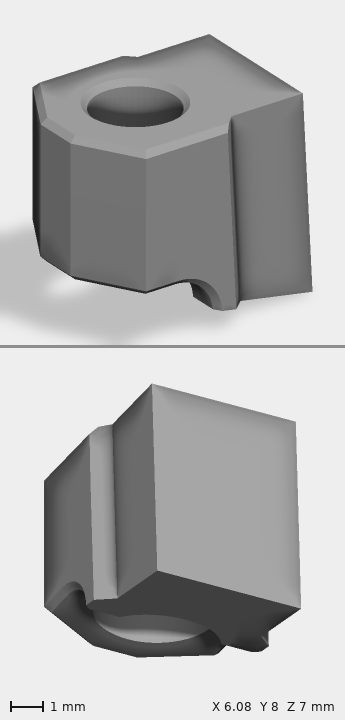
import cadquery as cq
import math

head_width = 6.08
head_front = -3.04
head_height = 5.0
front_flat_width = 1.62
facet_angle = 30.0
edge_chamfer = 0.21

parting_z = -2.0
draft_angle = 0.3

tail_width = 5.0
tail_back = 4.96
total_height = 7.0
back_lean = 3.0
underside_slope = 10.0

shoulder_back = 1.88

relief_radius = 1.44
relief_start = -0.5

bore_diameter = 3.0
bore_chamfer = 0.2
counterbore_diameter = 4.0
counterbore_top = -1.56

overrun = 1.6

half_head = head_width / 2
half_tail = tail_width / 2
facet_slope = math.tan(math.radians(facet_angle))
facet_rear = head_front + (half_head - front_flat_width / 2) * facet_slope
back_shift = total_height * math.tan(math.radians(back_lean))


def make_plan_block():
    """Vertical block with the faceted front, longer and deeper than the finished part."""
    rear = tail_back + overrun
    half_flat = front_flat_width / 2
    return (
        cq.Workplane("XY")
        .polyline([
            (-half_head, rear),
            (-half_head, facet_rear),
            (-half_flat, head_front),
            (half_flat, head_front),
            (half_head, facet_rear),
            (half_head, rear),
        ])
        .close()
        .extrude(-total_height - overrun)
    )


def make_draft_cutter(point_x, point_y, turn):
    """Thin wedge outside the upright face through a plan point, its normal turned from +X about Z."""
    depth = -parting_z * math.tan(math.radians(draft_angle))
    length = 2 * (tail_back + overrun)
    return (
        cq.Workplane("XZ")
        .polyline([(0, parting_z), (-depth, 0), (overrun, 0), (overrun, parting_z)])
        .close()
        .extrude(length, both=True)
        .rotate((0, 0, 0), (0, 0, 1), turn)
        .translate((point_x, point_y, 0))
    )


def make_relief_cutter():
    """Space under the head, ending in a quarter-round against the tail."""
    centre_z = -head_height - relief_radius
    bottom = -total_height - 2 * overrun
    diagonal = relief_radius * math.sqrt(0.5)
    return (
        cq.Workplane("YZ")
        .moveTo(head_front - overrun, -head_height)
        .lineTo(relief_start, -head_height)
        .threePointArc(
            (relief_start + diagonal, centre_z + diagonal),
            (relief_start + relief_radius, centre_z),
        )
        .lineTo(relief_start + relief_radius, bottom)
        .lineTo(head_front - overrun, bottom)
        .close()
        .extrude(head_width, both=True)
    )


def make_leaning_envelope():
    """Tail and shoulder outline, carried down along the lean and trimmed by the sloping underside."""
    shoulder_front = shoulder_back - (half_head - half_tail)
    outer = half_head + overrun
    outer_y = shoulder_front - overrun
    front = head_front - overrun
    half_outline = [
        (outer, front),
        (outer, outer_y),
        (half_tail, shoulder_back),
        (half_tail, tail_back - back_shift),
    ]
    outline = half_outline + [(-x, y) for x, y in reversed(half_outline)]
    lowered = [(x, y + back_shift) for x, y in outline]
    leaning = (
        cq.Workplane("XY")
        .polyline(outline)
        .close()
        .workplane(offset=-total_height)
        .polyline(lowered)
        .close()
        .loft(ruled=True)
    )
    run = tail_back - relief_start
    rise = run * math.tan(math.radians(underside_slope))
    underside = (
        cq.Workplane("YZ")
        .polyline([
            (tail_back, -total_height),
            (relief_start, -total_height + rise),
            (relief_start, -total_height - overrun),
            (tail_back, -total_height - overrun),
        ])
        .close()
        .extrude(head_width, both=True)
    )
    return leaning.cut(underside)


def chamfer_head(block):
    """Bevel the outer edges of the top face and of the head bottom and relief."""
    top_edges = block.faces(">Z").edges("not >Y")
    block = top_edges.chamfer(edge_chamfer)
    flat_middle = (0, (head_front + relief_start) / 2, -head_height)
    curved_face = block.faces("%CYLINDER")
    flat_face = block.faces("|Z").faces(cq.selectors.NearestToPointSelector(flat_middle))
    bottom_edges = flat_face.edges("not >Y").add(curved_face.edges("not |X"))
    return bottom_edges.chamfer(edge_chamfer)


def make_bore():
    """Through bore with a bevelled mouth and a wider counterbore from below."""
    radius = bore_diameter / 2
    bottom = -total_height - overrun
    return (
        cq.Workplane("XZ")
        .polyline([
            (0, 0),
            (radius + bore_chamfer, 0),
            (radius, -bore_chamfer),
            (radius, counterbore_top),
            (counterbore_diameter / 2, counterbore_top),
            (counterbore_diameter / 2, bottom),
            (0, bottom),
        ])
        .close()
        .revolve(360, (0, 0), (0, 1))
    )


head = make_plan_block().cut(make_relief_cutter())
leaning_faces = [
    (0, head_front, -90),
    (half_head, facet_rear, 0),
    (half_head, facet_rear, facet_angle - 90),
    (-half_head, facet_rear, -90 - facet_angle),
]
for point_x, point_y, turn in leaning_faces:
    head = head.cut(make_draft_cutter(point_x, point_y, turn))
head = chamfer_head(head)

result = head.intersect(make_leaning_envelope()).cut(make_bore())